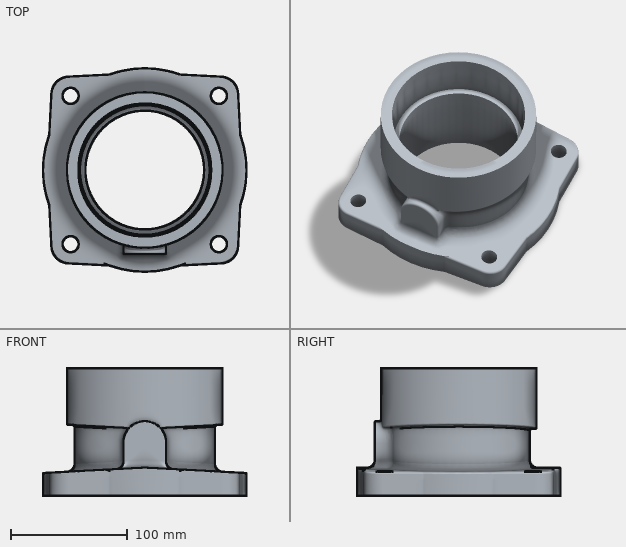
import cadquery as cq
import math

total_height = 109.5
lobe_radius = 87.3
draft_slope = math.tan(math.radians(3.0))

flange_ridge_height = 24.3
lobe_half_width = 30.0
flange_corner_radius = 15.5
flange_edge_fillet = 1.5
bolt_offset = 63.5
bolt_hole_diameter = 13.6

neck_radius = 60.2
neck_flat_angle = math.radians(9.0)
collar_radius = 66.7
collar_bottom = 57.5
neck_overlap = 19.2
neck_top = collar_bottom + neck_overlap
root_fillet = 6.3
collar_fillet = 1.4

bore_radius = 50.8
socket_mouth_radius = 57.1
socket_floor_radius = 55.5
socket_depth = 38.0

pad_radius = 18.3
pad_arch_center = 45.8
pad_top = pad_arch_center + pad_radius
pad_face_distance = 72.1
pad_edge_fillet = 1.5

margin = 0.7




def flange_outline():
    """Half outline: round lobes on the axes joined by drafted sides that meet in square corners."""
    lobe_end = math.sqrt(lobe_radius**2 - lobe_half_width**2)
    corner = (lobe_end + draft_slope * lobe_half_width) / (1 + draft_slope)
    half_angle = math.asin(lobe_half_width / lobe_radius) / 2
    mid_x = lobe_radius * math.sin(half_angle)
    mid_y = lobe_radius * math.cos(half_angle)
    return (
        cq.Workplane("XY")
        .moveTo(0, -lobe_radius)
        .threePointArc((mid_x, -mid_y), (lobe_half_width, -lobe_end))
        .lineTo(corner, -corner)
        .lineTo(lobe_end, -lobe_half_width)
        .threePointArc((lobe_radius, 0), (lobe_end, lobe_half_width))
        .lineTo(corner, corner)
        .lineTo(lobe_half_width, lobe_end)
        .threePointArc((mid_x, mid_y), (0, lobe_radius))
        .close()
    )


def drafted_half_block(ridge_z, slope, end_z):
    """Large block between height end_z and a plane that passes ridge_z at x = 0 with the given slope."""
    reach = 2 * lobe_radius
    return (
        cq.Workplane("XZ")
        .polyline([(0, end_z), (reach, end_z), (reach, ridge_z + slope * reach), (0, ridge_z)])
        .close()
        .extrude(reach, both=True)
    )


def half_flange():
    """Drafted flange, its top edge rounded except on the -Y lobe and the parting plane."""
    plate = flange_outline().extrude(flange_ridge_height)
    plate = plate.edges("|Z").edges(">(1,1,0) or >(1,-1,0)").fillet(flange_corner_radius)
    plate = plate.intersect(drafted_half_block(flange_ridge_height, -draft_slope, 0))
    return plate.faces(">Z").edges("not <X").edges("not <Y").fillet(flange_edge_fillet)


def half_neck():
    """Solid round neck whose two halves meet in a shallow ridge at +Y, opposite the pad."""
    ridge_y = neck_radius / math.cos(neck_flat_angle)
    tangent_x = neck_radius * math.sin(neck_flat_angle)
    tangent_y = neck_radius * math.cos(neck_flat_angle)
    return (
        cq.Workplane("XY")
        .moveTo(0, -neck_radius)
        .threePointArc((neck_radius, 0), (tangent_x, tangent_y))
        .lineTo(0, ridge_y)
        .close()
        .extrude(neck_top)
    )


def half_pad():
    """Arched pad with a flat face and a rounded face edge."""
    arch_mid = pad_radius * math.sqrt(0.5)
    pad = (
        cq.Workplane("XZ")
        .lineTo(pad_radius, 0)
        .lineTo(pad_radius, pad_arch_center)
        .threePointArc((arch_mid, pad_arch_center + arch_mid), (0, pad_top))
        .close()
        .extrude(pad_face_distance)
    )
    return pad.faces("<Y").edges("not (<X or <Z)").fillet(pad_edge_fillet)


def half_neck_with_pad():
    """Neck and pad, blended along the line where they meet."""
    joint = cq.selectors.BoxSelector(
        (margin, -neck_radius - 2 * margin, margin),
        (pad_radius + margin, -neck_radius + root_fillet, pad_top + margin),
    )
    return half_neck().union(half_pad()).edges(joint).fillet(root_fillet)


def half_collar():
    """Thick upper ring, still solid, its rounded underside rising away from the parting plane."""
    collar = cq.Workplane("XY").circle(collar_radius).extrude(total_height)
    collar = collar.intersect(drafted_half_block(collar_bottom, draft_slope, total_height))
    return collar.faces("<Z").edges("not <X").fillet(collar_fillet)


def half_body():
    """Flange, neck, pad and collar, with the neck blended into the flange and the collar."""
    flange_drop = draft_slope * lobe_radius
    root = cq.selectors.BoxSelector(
        (margin, -pad_face_distance - margin, flange_ridge_height - flange_drop),
        (neck_radius + margin, neck_radius + 2 * margin, flange_ridge_height + margin),
    )
    body = half_flange().union(half_neck_with_pad()).edges(root).fillet(root_fillet)
    body = body.union(half_collar())
    seam = cq.selectors.BoxSelector(
        (margin, -collar_radius, collar_bottom - margin),
        (neck_radius, neck_radius, pad_top),
    )
    return body.edges("%ELLIPSE").edges(seam).fillet(collar_fillet)


def bore_and_socket():
    """Through bore opening into a tapered socket at the top."""
    socket_floor = total_height - socket_depth
    return (
        cq.Workplane("XZ")
        .lineTo(bore_radius, 0)
        .lineTo(bore_radius, socket_floor)
        .lineTo(socket_floor_radius, socket_floor)
        .lineTo(socket_mouth_radius, total_height)
        .lineTo(0, total_height)
        .close()
        .revolve()
    )


def bolt_holes():
    """Four through holes at the flange corners."""
    return (
        cq.Workplane("XY")
        .rect(2 * bolt_offset, 2 * bolt_offset, forConstruction=True)
        .vertices()
        .circle(bolt_hole_diameter / 2)
        .extrude(flange_ridge_height)
    )


half = half_body()
result = half.union(half.mirror("YZ")).cut(bore_and_socket()).cut(bolt_holes())